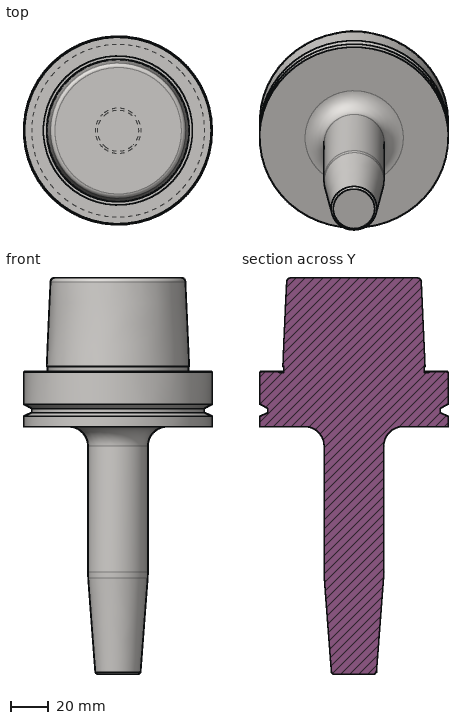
import cadquery as cq
import math

total_height = 210.0
flange_top = 160.4
flange_thickness = 29.4
flange_bottom = flange_top - flange_thickness

flange_radius = 50.0
flange_edge_chamfer = 0.6

groove_radius = 45.8
groove_upper_lip = flange_top - 17.5
groove_floor_top = flange_top - 19.7
groove_floor_bottom = flange_top - 21.8
groove_lower_lip = flange_top - 23.7

head_base_radius = 37.8
head_top_radius = 35.7
head_edge_fillet = 2.3

neck_top = flange_top + 2.7
neck_radius = 37.4
recess_radius = 39.5
recess_depth = 0.6

shank_radius = 16.0
shank_root_fillet = 10.0
cone_top = 52.7
cone_blend_length = 1.7
tip_radius = 12.0
tip_chamfer = 1.0
cone_half_angle = math.atan((shank_radius - tip_radius) / cone_top)


def make_head():
    """Tapered head standing on its relieved neck."""
    profile = (
        cq.Workplane("XZ")
        .moveTo(0, flange_top - recess_depth)
        .lineTo(neck_radius, flange_top - recess_depth)
        .lineTo(neck_radius, neck_top - (head_base_radius - neck_radius))
        .lineTo(head_base_radius, neck_top)
        .lineTo(head_top_radius, total_height)
        .lineTo(0, total_height)
        .close()
    )
    return profile.revolve().faces(">Z").edges().fillet(head_edge_fillet)


def make_flange():
    """Flange with its gripper groove and the recess around the head."""
    profile = (
        cq.Workplane("XZ")
        .moveTo(0, flange_bottom)
        .lineTo(flange_radius, flange_bottom)
        .lineTo(flange_radius, groove_lower_lip)
        .lineTo(groove_radius, groove_floor_bottom)
        .lineTo(groove_radius, groove_floor_top)
        .lineTo(flange_radius, groove_upper_lip)
        .lineTo(flange_radius, flange_top - flange_edge_chamfer)
        .lineTo(flange_radius - flange_edge_chamfer, flange_top)
        .lineTo(recess_radius, flange_top)
        .lineTo(recess_radius, flange_top - recess_depth)
        .lineTo(0, flange_top - recess_depth)
        .close()
    )
    return profile.revolve()


def make_shank():
    """Cylindrical shank with a flared root and a conical end blended into it."""
    blend_start = (
        shank_radius - cone_blend_length * math.sin(cone_half_angle),
        cone_top - cone_blend_length * math.cos(cone_half_angle),
    )
    blend_end = (shank_radius, cone_top + cone_blend_length)
    profile = (
        cq.Workplane("XZ")
        .lineTo(tip_radius, 0)
        .lineTo(*blend_start)
        .tangentArcPoint(blend_end, relative=False)
        .lineTo(shank_radius, flange_bottom - shank_root_fillet)
        .radiusArc((shank_radius + shank_root_fillet, flange_bottom), shank_root_fillet)
        .lineTo(0, flange_bottom)
        .close()
    )
    shank = profile.revolve()
    return shank.faces("<Z").edges().chamfer(tip_chamfer)


result = make_flange().union(make_head()).union(make_shank())